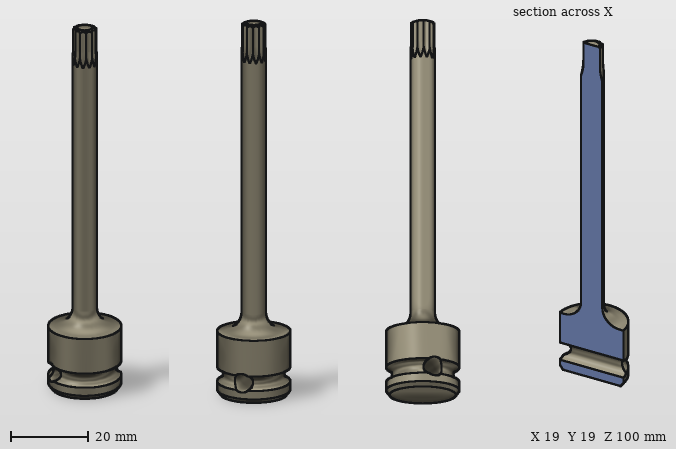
import cadquery as cq
import math

LENGTH = 100.0
BODY_RADIUS = 9.5
BODY_HEIGHT = 17.0
BASE_CHAMFER_RADIAL = 0.9
BASE_CHAMFER_HEIGHT = 1.2

GROOVE_CENTRE_Z = 5.4
GROOVE_WIDTH = 3.9
GROOVE_DEPTH = 1.5
PIN_HOLE_DIAMETER = 5.0

SHAFT_RADIUS = 3.2
NECK_RADIUS = 5.1

TIP_FLAT_RADIUS = 2.0
TIP_CHAMFER_HEIGHT = 0.5
FLUTE_COUNT = 12
FLUTE_FLOOR_RADIUS = 2.5
FLUTE_FLOOR_ROUND = 0.2
FLUTE_ANGLE = 115
FLUTE_STRAIGHT_LENGTH = 6.0
FLUTE_CUTTER_RADIUS = 12.0
FLUTE_RUNOUT_ANGLE = 30
FLUTE_CLEARANCE = 0.2


def turned_blank():
    """Revolve the half outline of the body, neck, shaft and tip about Z."""
    groove_bottom = GROOVE_CENTRE_Z - GROOVE_WIDTH / 2
    groove_top = GROOVE_CENTRE_Z + GROOVE_WIDTH / 2
    neck_outer = SHAFT_RADIUS + NECK_RADIUS
    neck_top = BODY_HEIGHT + NECK_RADIUS
    neck_bulge = NECK_RADIUS * (1 - math.sqrt(0.5))
    return (
        cq.Workplane("XZ")
        .lineTo(BODY_RADIUS - BASE_CHAMFER_RADIAL, 0)
        .lineTo(BODY_RADIUS, BASE_CHAMFER_HEIGHT)
        .lineTo(BODY_RADIUS, groove_bottom)
        .threePointArc((BODY_RADIUS - GROOVE_DEPTH, GROOVE_CENTRE_Z), (BODY_RADIUS, groove_top))
        .lineTo(BODY_RADIUS, BODY_HEIGHT)
        .lineTo(neck_outer, BODY_HEIGHT)
        .threePointArc(
            (SHAFT_RADIUS + neck_bulge, BODY_HEIGHT + neck_bulge),
            (SHAFT_RADIUS, neck_top),
        )
        .lineTo(SHAFT_RADIUS, LENGTH - TIP_CHAMFER_HEIGHT)
        .lineTo(TIP_FLAT_RADIUS, LENGTH)
        .lineTo(0, LENGTH)
        .close()
        .revolve(360, (0, 0), (0, 1))
    )


def flute_section():
    """Vee with a rounded floor across a flute on the +X side, at the lower end of its straight run."""
    half_angle = math.radians(FLUTE_ANGLE / 2)
    round_centre = FLUTE_FLOOR_RADIUS + FLUTE_FLOOR_ROUND
    flank_start_x = round_centre - FLUTE_FLOOR_ROUND * math.sin(half_angle)
    flank_start_y = FLUTE_FLOOR_ROUND * math.cos(half_angle)
    rim_x = SHAFT_RADIUS + FLUTE_CLEARANCE
    rim_y = flank_start_y + (rim_x - flank_start_x) * math.tan(half_angle)
    return (
        cq.Workplane("XY", origin=(0, 0, LENGTH - FLUTE_STRAIGHT_LENGTH))
        .moveTo(rim_x, rim_y)
        .lineTo(flank_start_x, flank_start_y)
        .threePointArc((FLUTE_FLOOR_RADIUS, 0), (flank_start_x, -flank_start_y))
        .lineTo(rim_x, -rim_y)
        .close()
    )


def flute_cutter():
    """Straight flute, then an arc that rises out of the shaft."""
    straight = flute_section().extrude(FLUTE_STRAIGHT_LENGTH)
    axis_x = FLUTE_FLOOR_RADIUS + FLUTE_CUTTER_RADIUS
    runout = flute_section().revolve(FLUTE_RUNOUT_ANGLE, (axis_x, 0), (axis_x, -1))
    return straight.union(runout)


def pin_hole():
    """Round hole along Y, through both sides of the body."""
    return (
        cq.Workplane("XZ")
        .center(0, GROOVE_CENTRE_Z)
        .circle(PIN_HOLE_DIAMETER / 2)
        .extrude(BODY_RADIUS, both=True)
    )


result = turned_blank().cut(pin_hole())
flute = flute_cutter()
for index in range(FLUTE_COUNT):
    result = result.cut(flute.rotate((0, 0, 0), (0, 0, 1), index * 360 / FLUTE_COUNT))